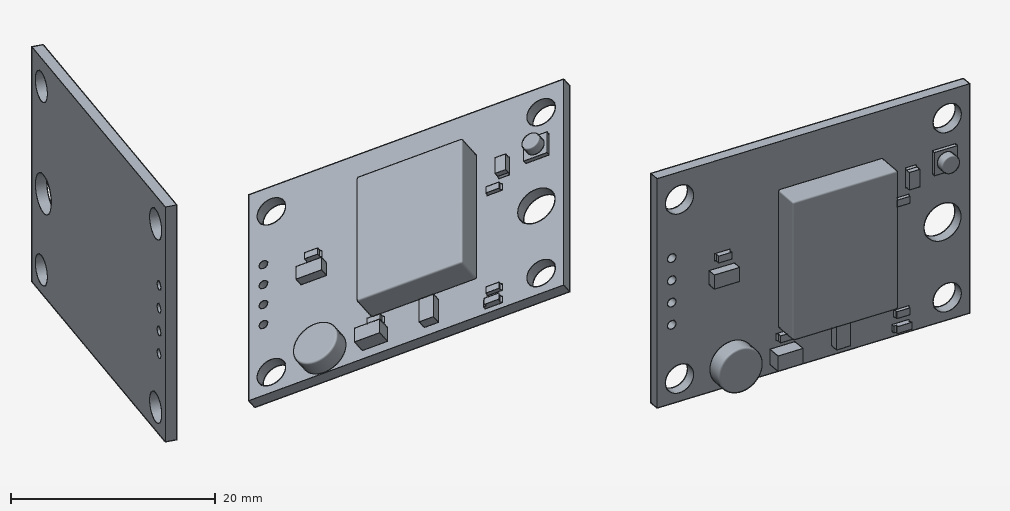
import cadquery as cq

board_width = 35.6
board_height = 26.1
total_depth = 4.05
board_thickness = 1.2

mount_x = 15.25
mount_z_middle = -0.3
mount_z_spacing = 20.35
mount_hole_diameter = 3.2
mount_pad_diameter = 4.0
large_hole_x = -14.7
large_hole_z = -1.75
large_hole_diameter = 4.2
pin_count = 4
pin_x = 16.13
pin_pitch = 2.53
pin_z_middle = -0.3
pin_hole_diameter = 0.95
pin_pad_diameter = 2.0

pad_thickness = 0.1
solder_pad_width = 6.6
solder_pad_height = 4.0
left_pad_x = -11.7
right_pad_x = 11.45
upper_pad_z = 5.05
lower_left_pad_z = -5.98
lower_right_pad_z = -4.9

module_width = 11.93
module_height = 15.75
module_x = -2.0
module_z = -0.3
module_fillet = 0.2

switch_x = -14.85
switch_z = 5.4
switch_side = 2.65
switch_base_height = 0.43
switch_knob_diameter = 2.0
switch_knob_fillet = 0.15
switch_total_height = 1.42

can_x = 9.3
can_z = -10.45
can_diameter = 5.0
can_height = 1.78
can_fillet = 0.2

small_block_long = 2.9
small_block_short = 1.6
small_block_height = 1.0
lower_block_x = -2.85
lower_block_z = -10.5
right_block_x = 10.43
right_block_z = 0.0
tall_block_width = 2.85
tall_block_length = 1.75
tall_block_height = 1.53
tall_block_x = 3.52
tall_block_z = -11.1

solder_height = 0.2
solder_reach = 0.15
chip_length = 1.5
chip_width = 0.8
resistor_height = 0.43
capacitor_height = 0.6
chip_row_x = -10.0
upper_resistor_z = 2.2
lower_resistor_z = -10.45
lower_capacitor_x = 3.35
lower_capacitor_z = -9.08
right_capacitor_x = 10.4
right_capacitor_z = 2.15
large_chip_length = 2.0
large_chip_width = 1.2
large_chip_height = 0.75
large_chip_x = -11.07
large_chip_z = 4.55

led_z = -12.05
lens_height = 0.2
lens_overhang = 0.1
tab_length = 0.32
tab_height = 0.35


def block(x, z, width, length, height):
    """Box on the component face: width along X, length along Z, height along Y."""
    body = cq.Workplane("XY").box(width, height, length, centered=(True, False, True))
    return body.translate((x, board_thickness, z))


def cylinder(x, z, diameter, depth, start=0.0):
    """Cylinder along +Y, starting at y = start."""
    disc = cq.Workplane("XZ").circle(diameter / 2).extrude(-depth)
    return disc.translate((x, start, z))


def extrude_along_z(points, x, z, width):
    """Extrude a side profile of (X, height) points by width, centred on (x, z)."""
    prism = cq.Workplane("XY").polyline(points).close().extrude(width / 2, both=True)
    return prism.translate((x, board_thickness, z))


def chip(x, z, length, width, height, turned=False):
    """Chip lying along X, or along Z when turned, with solder joints at its ends."""
    end = length / 2
    foot = end + solder_reach
    profile = [
        (-foot, 0),
        (-end, solder_height),
        (-end, height),
        (end, height),
        (end, solder_height),
        (foot, 0),
    ]
    body = extrude_along_z(profile, 0, 0, width)
    if turned:
        body = body.rotate((0, 0, 0), (0, 1, 0), 90)
    return body.translate((x, 0, z))


def led():
    """Chip base with a flared lens on top and a low tab at the +X end."""
    base = chip(chip_row_x, led_z, chip_length, chip_width, resistor_height)
    end = chip_length / 2
    top = end + lens_overhang
    lens_top = resistor_height + lens_height
    lens_profile = [
        (-end, resistor_height),
        (-top, lens_top),
        (top, lens_top),
        (end, resistor_height),
    ]
    lens = extrude_along_z(lens_profile, chip_row_x, led_z, chip_width)
    tab_x = chip_row_x + end + tab_length / 2
    tab = block(tab_x, led_z, tab_length, chip_width, tab_height)
    return base.union(lens).union(tab)


def module():
    height = total_depth - board_thickness
    body = block(module_x, module_z, module_width, module_height, height)
    return body.edges("|Y or >Y").fillet(module_fillet)


def tactile_switch():
    base = block(switch_x, switch_z, switch_side, switch_side, switch_base_height)
    knob_height = switch_total_height - switch_base_height
    knob_start = board_thickness + switch_base_height
    knob = cylinder(switch_x, switch_z, switch_knob_diameter, knob_height, knob_start)
    knob = knob.faces(">Y").edges().fillet(switch_knob_fillet)
    return base.union(knob)


def round_can():
    body = cylinder(can_x, can_z, can_diameter, can_height, board_thickness)
    return body.faces(">Y").edges().fillet(can_fillet)


mount_points = [
    (side * mount_x, mount_z_middle + level * mount_z_spacing / 2)
    for side in (-1, 1)
    for level in (-1, 1)
]
pin_points = [
    (pin_x, pin_z_middle + (i - (pin_count - 1) / 2) * pin_pitch)
    for i in range(pin_count)
]
solder_pad_points = [
    (left_pad_x, upper_pad_z),
    (left_pad_x, lower_left_pad_z),
    (right_pad_x, upper_pad_z),
    (right_pad_x, lower_right_pad_z),
]

board = cq.Workplane("XY").box(board_width, board_thickness, board_height, centered=(True, False, True))
board = board.cut(cylinder(large_hole_x, large_hole_z, large_hole_diameter, board_thickness))
for x, z in mount_points:
    board = board.cut(cylinder(x, z, mount_hole_diameter, board_thickness))
for x, z in pin_points:
    board = board.cut(cylinder(x, z, pin_hole_diameter, board_thickness))

components = [
    module(),
    tactile_switch(),
    round_can(),
    led(),
    block(lower_block_x, lower_block_z, small_block_short, small_block_long, small_block_height),
    block(right_block_x, right_block_z, small_block_long, small_block_short, small_block_height),
    block(tall_block_x, tall_block_z, tall_block_width, tall_block_length, tall_block_height),
    chip(chip_row_x, upper_resistor_z, chip_length, chip_width, resistor_height),
    chip(chip_row_x, lower_resistor_z, chip_length, chip_width, resistor_height),
    chip(lower_capacitor_x, lower_capacitor_z, chip_length, chip_width, capacitor_height),
    chip(right_capacitor_x, right_capacitor_z, chip_length, chip_width, capacitor_height),
    chip(large_chip_x, large_chip_z, large_chip_length, large_chip_width, large_chip_height, turned=True),
]
for component in components:
    board = board.union(component)

pads = []
for x, z in mount_points:
    ring = cylinder(x, z, mount_pad_diameter, pad_thickness)
    pads.append(ring.cut(cylinder(x, z, mount_hole_diameter, pad_thickness)))
for x, z in pin_points:
    ring = cylinder(x, z, pin_pad_diameter, pad_thickness)
    pads.append(ring.cut(cylinder(x, z, pin_hole_diameter, pad_thickness)))
for x, z in solder_pad_points:
    pad = block(x, z, solder_pad_width, solder_pad_height, pad_thickness)
    pads.append(pad.translate((0, -board_thickness, 0)))
for pad in pads:
    board = board.cut(pad, clean=False).union(pad, clean=False)

result = board